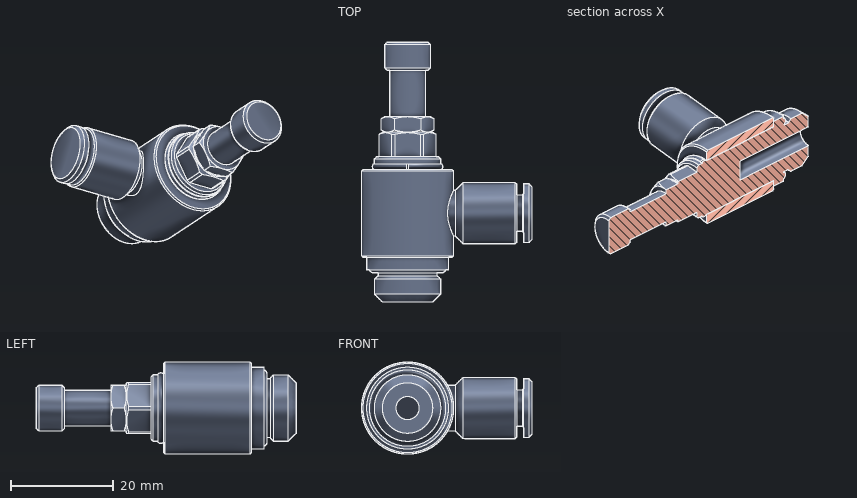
import cadquery as cq
import math

TOTAL_LENGTH = 50.75
TOTAL_WIDTH = 33.3

TIP_DIA = 13.0
TIP_CHAMFER = 1.55
TIP_BACK_CHAMFER = 0.6
TIP_LENGTH = 5.1
TIP_HOLE_DIA = 4.5

NECK_DIA = 11.5
SEAL_WIRE_RADIUS = 0.85
SEAL_FRONT_Y = 5.7

COLLAR_DIA = 16.0
COLLAR_FRONT_Y = 6.3

SLEEVE_DIA = 18.0
SLEEVE_BORE_DIA = 13.05
SLEEVE_FRONT_Y = 8.75
SLEEVE_LENGTH = 17.15
SLEEVE_CHAMFER = 0.3

RING_DIA = 13.8
RING_WIRE_RADIUS = 0.75
RING_WIDTH = 1.1
RING_GAP = 0.4

FLANGE_LENGTH = 1.35
FLANGE_CHAMFER = 0.45

HEX_ACROSS_FLATS = 10.0
HEX_CORNER_DIA = 11.15
HEX_LENGTH = 4.8

NUT_ACROSS_FLATS = 9.0
NUT_LENGTH = 3.0
HEX_CHAMFER_ANGLE = 30.0
HEX_CHAMFER_DEPTH = 0.45

STEM_DIA = 7.0
KNOB_DIA = 9.0
KNOB_LENGTH = 5.55
KNOB_CHAMFER = 0.5

BRANCH_Y = 17.35
BRANCH_NECK_DIA = 9.0
BRANCH_DIA = 12.0
BRANCH_SHOULDER_X = 10.8
BRANCH_END_X = 21.3
BRANCH_CHAMFER = 0.3
RELEASE_NECK_DIA = 7.1
RELEASE_DIA = 11.5
RELEASE_CHAMFER = 0.6
RELEASE_FRONT_X = 22.65
RELEASE_ROOT_CHAMFER = 0.25

SLEEVE_BACK_Y = SLEEVE_FRONT_Y + SLEEVE_LENGTH
RING_BACK_Y = SLEEVE_BACK_Y + RING_WIDTH
FLANGE_BACK_Y = RING_BACK_Y + FLANGE_LENGTH
HEX_BACK_Y = FLANGE_BACK_Y + HEX_LENGTH
NUT_BACK_Y = HEX_BACK_Y + NUT_LENGTH
KNOB_FRONT_Y = TOTAL_LENGTH - KNOB_LENGTH
CONE_START_X = BRANCH_SHOULDER_X - (BRANCH_DIA - BRANCH_NECK_DIA) / 2
RELEASE_END_X = TOTAL_WIDTH - SLEEVE_DIA / 2
RELEASE_ROOT_X = RELEASE_FRONT_X - RELEASE_ROOT_CHAMFER


def y_cylinder(diameter, start, end):
    """Cylinder on the main axis between two Y positions."""
    return cq.Workplane("XZ", origin=(0, start, 0)).circle(diameter / 2).extrude(start - end)


def x_cylinder(diameter, start, end):
    """Cylinder on the branch axis between two X positions."""
    return cq.Workplane("YZ", origin=(start, BRANCH_Y, 0)).circle(diameter / 2).extrude(end - start)


def x_cone(start_diameter, end_diameter, start, end):
    """Truncated cone on the branch axis between two X positions."""
    base = cq.Vector(start, BRANCH_Y, 0)
    cone = cq.Solid.makeCone(start_diameter / 2, end_diameter / 2, end - start, base, cq.Vector(1, 0, 0))
    return cq.Workplane(obj=cone)


def y_torus(ring_radius, wire_radius, y):
    """Ring of round wire around the main axis."""
    solid = cq.Solid.makeTorus(ring_radius, wire_radius, cq.Vector(0, y, 0), cq.Vector(0, 1, 0))
    return cq.Workplane(obj=solid)


def end_cone(end_y, depth_direction, end_radius, length):
    """Conical envelope that bevels the corners of a hexagon at one end.

    depth_direction is +1 or -1, pointing along Y from the end into the hexagon.
    """
    growth = length / math.tan(math.radians(HEX_CHAMFER_ANGLE))
    direction = cq.Vector(0, depth_direction, 0)
    cone = cq.Solid.makeCone(end_radius, end_radius + growth, length, cq.Vector(0, end_y, 0), direction)
    return cq.Workplane(obj=cone)


def y_hexagon(across_flats, start, end):
    """Hexagonal prism on the main axis with two flats facing up and down."""
    corner_dia = across_flats / math.cos(math.pi / 6)
    return cq.Workplane("XZ", origin=(0, start, 0)).polygon(6, corner_dia).extrude(start - end)


def make_threaded_tip():
    tip = y_cylinder(TIP_DIA, 0, TIP_LENGTH)
    tip = tip.faces("<Y").chamfer(TIP_CHAMFER)
    return tip.faces(">Y").chamfer(TIP_BACK_CHAMFER)


def make_seal_collar():
    seal_ring_radius = NECK_DIA / 2 + SEAL_WIRE_RADIUS
    collar = y_cylinder(COLLAR_DIA, COLLAR_FRONT_Y, SLEEVE_FRONT_Y)
    return collar.union(y_torus(seal_ring_radius, SEAL_WIRE_RADIUS, SEAL_FRONT_Y + SEAL_WIRE_RADIUS))


def make_retaining_ring():
    middle_y = (SLEEVE_BACK_Y + RING_BACK_Y) / 2
    ring = y_torus(RING_DIA / 2 - RING_WIRE_RADIUS, RING_WIRE_RADIUS, middle_y)
    ring = ring.intersect(y_cylinder(RING_DIA, SLEEVE_BACK_Y, RING_BACK_Y))
    gap = cq.Workplane(origin=(0, middle_y, 0)).rect(RING_GAP, RING_WIDTH).extrude(RING_DIA)
    return ring.cut(gap)


def make_flange():
    return y_cylinder(SLEEVE_BORE_DIA, RING_BACK_Y, FLANGE_BACK_Y).faces(">Y").chamfer(FLANGE_CHAMFER)


def make_bolt_hexagon():
    end_radius = HEX_CORNER_DIA / 2 - HEX_CHAMFER_DEPTH / math.tan(math.radians(HEX_CHAMFER_ANGLE))
    hexagon = y_hexagon(HEX_ACROSS_FLATS, FLANGE_BACK_Y, HEX_BACK_Y)
    hexagon = hexagon.intersect(y_cylinder(HEX_CORNER_DIA, FLANGE_BACK_Y, HEX_BACK_Y))
    return hexagon.intersect(end_cone(HEX_BACK_Y, -1, end_radius, HEX_LENGTH))


def make_lock_nut():
    end_radius = NUT_ACROSS_FLATS / 2
    nut = y_hexagon(NUT_ACROSS_FLATS, HEX_BACK_Y, NUT_BACK_Y)
    nut = nut.intersect(end_cone(HEX_BACK_Y, 1, end_radius, NUT_LENGTH))
    return nut.intersect(end_cone(NUT_BACK_Y, -1, end_radius, NUT_LENGTH))


def make_knob():
    return y_cylinder(KNOB_DIA, KNOB_FRONT_Y, TOTAL_LENGTH).faces("<Y or >Y").chamfer(KNOB_CHAMFER)


def make_bolt():
    """Hollow bolt with its seal, retaining ring, hexagons, stem and knob."""
    bolt = y_cylinder(SLEEVE_BORE_DIA, SLEEVE_FRONT_Y, SLEEVE_BACK_Y)
    bolt = bolt.union(y_cylinder(NECK_DIA, TIP_LENGTH, RING_BACK_Y))
    bolt = bolt.union(make_threaded_tip())
    bolt = bolt.union(make_seal_collar())
    bolt = bolt.union(make_retaining_ring())
    bolt = bolt.union(make_flange())
    bolt = bolt.union(make_bolt_hexagon())
    bolt = bolt.union(make_lock_nut())
    bolt = bolt.union(y_cylinder(STEM_DIA, NUT_BACK_Y, KNOB_FRONT_Y))
    bolt = bolt.union(make_knob())
    return bolt.cut(y_cylinder(TIP_HOLE_DIA, 0, BRANCH_Y))


def make_branch():
    """Side branch with its cone, push-in socket and release collar."""
    branch = x_cylinder(BRANCH_NECK_DIA, 0, CONE_START_X)
    branch = branch.union(x_cone(BRANCH_NECK_DIA, BRANCH_DIA, CONE_START_X, BRANCH_SHOULDER_X))
    socket = x_cylinder(BRANCH_DIA, BRANCH_SHOULDER_X, BRANCH_END_X).faces(">X").chamfer(BRANCH_CHAMFER)
    branch = branch.union(socket)
    branch = branch.union(x_cylinder(RELEASE_NECK_DIA, BRANCH_END_X, RELEASE_FRONT_X))
    root_dia = RELEASE_NECK_DIA + 2 * RELEASE_ROOT_CHAMFER
    branch = branch.union(x_cone(RELEASE_NECK_DIA, root_dia, RELEASE_ROOT_X, RELEASE_FRONT_X))
    release = x_cylinder(RELEASE_DIA, RELEASE_FRONT_X, RELEASE_END_X).faces(">X").chamfer(RELEASE_CHAMFER)
    return branch.union(release)


def make_swivel_body():
    """Sleeve that turns on the bolt, together with its side branch."""
    sleeve = y_cylinder(SLEEVE_DIA, SLEEVE_FRONT_Y, SLEEVE_BACK_Y).faces("<Y or >Y").chamfer(SLEEVE_CHAMFER)
    bore = y_cylinder(SLEEVE_BORE_DIA, SLEEVE_FRONT_Y, SLEEVE_BACK_Y)
    return sleeve.union(make_branch()).cut(bore)


swivel_body = make_swivel_body()
bolt = make_bolt()

result = cq.Compound.makeCompound([swivel_body.val(), bolt.val()])